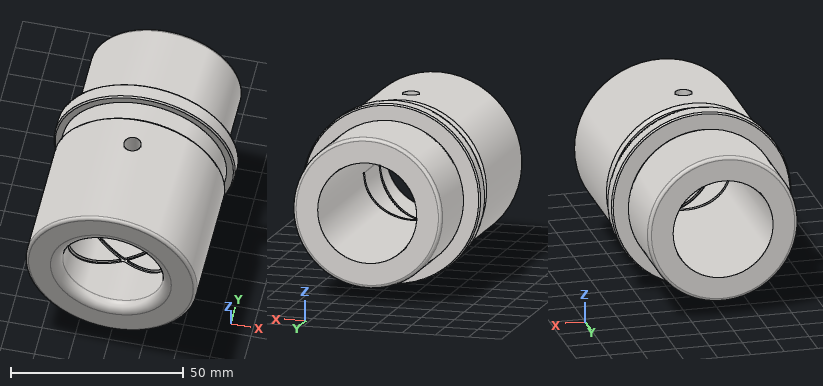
import cadquery as cq
import math

total_length = 75.0
body_end = 39.0
flange_start = 45.0
flange_end = 50.0
spigot_start = 51.0

body_radius = 25.5
neck_radius = 24.5
flange_radius = 27.0
undercut_radius = 21.5
spigot_radius = 22.5
bore_radius = 15.0

end_round = 1.0
edge_chamfer = 1.0
flange_chamfer = 0.45
entry_round = 3.0

groove_crossing = 18.0
groove_swing = 8.1
groove_width = 1.0
groove_depth = 0.75

oil_hole_diameter = 5.0
oil_hole_position = 29.0


def cylinder(radius, start, end):
    """Solid cylinder on the Y axis between two positions along it."""
    return cq.Workplane("XZ", origin=(0, start, 0)).circle(radius).extrude(start - end)


def oil_groove(tilt):
    """Tilted groove around the lower half of the bore."""
    groove_radius = bore_radius + groove_depth
    slab = (
        cq.Workplane("XY")
        .rect(4 * groove_radius, groove_width)
        .extrude(-2 * groove_radius)
        .rotate((0, 0, 0), (0, 0, 1), tilt)
        .translate((0, groove_crossing, 0))
    )
    return slab.intersect(cylinder(groove_radius, 0, total_length))


body = cylinder(body_radius, 0, body_end)
body = body.faces("<Y").edges().fillet(end_round)
body = body.faces(">Y").edges().chamfer(edge_chamfer)
neck = cylinder(neck_radius, body_end, flange_start)
flange = cylinder(flange_radius, flange_start, flange_end).faces("<Y or >Y").chamfer(flange_chamfer)
undercut = cylinder(undercut_radius, flange_end, spigot_start)
spigot = cylinder(spigot_radius, spigot_start, total_length)
spigot = spigot.faces("<Y").edges().chamfer(edge_chamfer)
spigot = spigot.faces(">Y").edges().fillet(end_round)
bush = body.union(neck).union(flange).union(undercut).union(spigot)

bush = bush.cut(cylinder(bore_radius, 0, total_length))
bush = bush.faces("<Y").edges(cq.selectors.RadiusNthSelector(0)).fillet(entry_round)

groove_tilt = math.degrees(math.atan(groove_swing / bore_radius))
grooves = oil_groove(groove_tilt).union(oil_groove(-groove_tilt))
bush = bush.cut(grooves)

oil_hole = (
    cq.Workplane("XY", origin=(0, oil_hole_position, 0))
    .circle(oil_hole_diameter / 2)
    .extrude(body_radius)
)
bush = bush.cut(oil_hole)

result = bush.translate((0, -total_length / 2, 0))